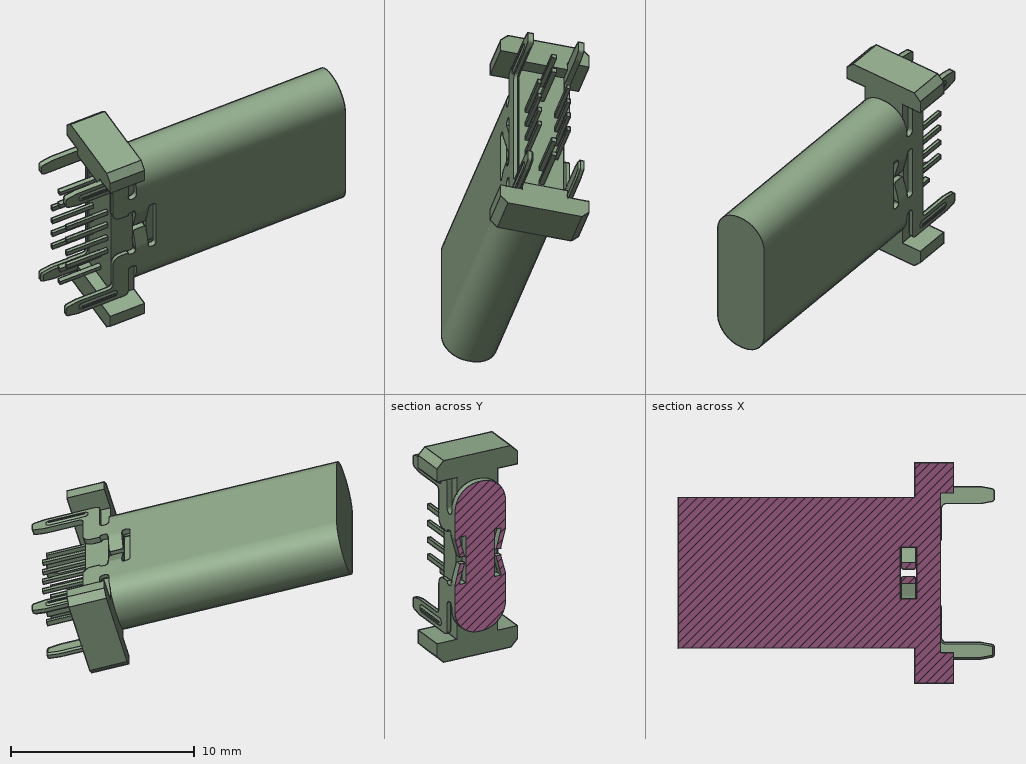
import cadquery as cq
import math


SHELL_HALF_X = 1.58
SHELL_HALF_Z = 4.47
SHELL_CORNER_RADIUS = 1.5
SHELL_FRONT_Y = 12.87
OVERALL_LENGTH = 17.2

BASE_WIDTH = 5.0
BASE_HALF_X = BASE_WIDTH / 2
BASE_HALF_Z = 6.0
BASE_REAR_Y = -2.12
FLANGE_INNER_Z = 4.82
FLANGE_CHAMFER = 0.41
WEB_HALF_X = 1.27
RECESS_HALF_Z = 4.33
RECESS_FLOOR_Y = -1.41

PLATE_THICKNESS = SHELL_HALF_X - WEB_HALF_X
PLATE_REAR_Y = -1.46
PLATE_OVERLAP = 0.17
PLATE_EDGE_CHAMFER = 0.1
RELIEF_WIDTH = 0.52
RELIEF_INNER_Z = 2.61

LEG_INNER_Z = 3.77
LEG_OUTER_Z = 4.7
LEG_MID_Z = (LEG_INNER_Z + LEG_OUTER_Z) / 2
LEG_TIP_Y = SHELL_FRONT_Y - OVERALL_LENGTH
LEG_TAPER_Y = -3.61
LEG_TAPER_INSET = 0.14
LEG_TIP_RADIUS = 0.17
LEG_OUTER_RADIUS = 0.25
LEG_INNER_RADIUS = 0.25

RIB_FRONT_Y = -1.17
RIB_REAR_Y = -3.56
RIB_WIDTH = 0.45
RIB_CREST_WIDTH = 0.1
RIB_HEIGHT = 0.06

TAB_FRONT_Y = 0.72
TAB_REAR_Y = -0.05
TAB_SIDE_STEP = 0.02
SLOT_WIDTH = 0.45
SLOT_HALF_Z = 1.63
SLOT_CORNER_RADIUS = 0.17
TAB_ROOT_Z = 1.4
TAB_BEND_Z = 1.27
TAB_BEND_DROP = 0.02
TAB_TIP_Z = 0.19
TAB_TIP_RADIUS = 0.14
POCKET_CLEARANCE = 0.05
POCKET_DEPTH = 0.38
SLOT_FLOOR_DEPTH = 0.03
SLOT_FLOOR_HALF_Z = 1.43

MOUTH_HALF_Z = 1.46
MOUTH_RADIUS = 0.5

PIN_PITCH = 1.0
PIN_TIP_Y = -3.94
PIN_EMBED = 0.17
PIN_ROOT_Y = RECESS_FLOOR_Y + PIN_EMBED
PIN_THICKNESS = 0.28
OUTER_PIN_HEIGHT = 0.22
SIGNAL_PIN_WIDTH = 0.19
SIGNAL_PIN_X = 0.83


def box(x_from, x_to, y_from, y_to, z_from, z_to):
    """Axis-aligned block between two opposite corners."""
    size = (x_to - x_from, y_to - y_from, z_to - z_from)
    return cq.Workplane("XY").box(*size, centered=False).translate((x_from, y_from, z_from))


def make_shell():
    return (
        cq.Workplane("XZ")
        .rect(2 * SHELL_HALF_X, 2 * SHELL_HALF_Z)
        .extrude(-SHELL_FRONT_Y)
        .edges("|Y")
        .fillet(SHELL_CORNER_RADIUS)
    )


def make_base():
    flanges = (
        box(-BASE_HALF_X, BASE_HALF_X, BASE_REAR_Y, 0, -BASE_HALF_Z, BASE_HALF_Z)
        .edges("|Y")
        .chamfer(FLANGE_CHAMFER)
        .cut(box(-BASE_HALF_X, BASE_HALF_X, BASE_REAR_Y, 0, -FLANGE_INNER_Z, FLANGE_INNER_Z))
    )
    web = box(-WEB_HALF_X, WEB_HALF_X, BASE_REAR_Y, 0, -FLANGE_INNER_Z, FLANGE_INNER_Z)
    recess = box(-WEB_HALF_X, WEB_HALF_X, BASE_REAR_Y, RECESS_FLOOR_Y, -RECESS_HALF_Z, RECESS_HALF_Z)
    return flanges.union(web).cut(recess)


def plate_blank():
    """Flat plate with rounded corners and two legs, lying against the -X side of the web."""
    relief_radius = RELIEF_WIDTH / 2
    relief_mid_z = RELIEF_INNER_Z + relief_radius
    blank = (
        cq.Workplane("YZ")
        .moveTo(PLATE_OVERLAP, 0)
        .lineTo(PLATE_OVERLAP, relief_mid_z)
        .lineTo(0, relief_mid_z)
        .threePointArc((-relief_radius, RELIEF_INNER_Z), (-RELIEF_WIDTH, relief_mid_z))
        .lineTo(-RELIEF_WIDTH, LEG_OUTER_Z)
        .lineTo(LEG_TAPER_Y, LEG_OUTER_Z)
        .lineTo(LEG_TIP_Y, LEG_OUTER_Z - LEG_TAPER_INSET)
        .lineTo(LEG_TIP_Y, LEG_INNER_Z + LEG_TAPER_INSET)
        .lineTo(LEG_TAPER_Y, LEG_INNER_Z)
        .lineTo(PLATE_REAR_Y, LEG_INNER_Z)
        .lineTo(PLATE_REAR_Y, 0)
        .mirrorX()
        .extrude(PLATE_THICKNESS)
        .translate((-SHELL_HALF_X, 0, 0))
    )
    rounded_corners = (
        (LEG_TIP_Y, LEG_OUTER_Z - LEG_TAPER_INSET, LEG_TIP_RADIUS),
        (LEG_TIP_Y, LEG_INNER_Z + LEG_TAPER_INSET, LEG_TIP_RADIUS),
        (-RELIEF_WIDTH, LEG_OUTER_Z, LEG_OUTER_RADIUS),
        (PLATE_REAR_Y, LEG_INNER_Z, LEG_INNER_RADIUS),
    )
    mid_x = -SHELL_HALF_X + PLATE_THICKNESS / 2
    for y, z, radius in rounded_corners:
        for side in (1, -1):
            corner = cq.selectors.NearestToPointSelector((mid_x, y, side * z))
            blank = blank.edges("|X").edges(corner).fillet(radius)
    return blank


def cut_mouth(plate):
    """Open the rear edge of the plate as far as the window and round both lips."""
    mouth = box(
        -SHELL_HALF_X, -WEB_HALF_X,
        PLATE_REAR_Y, TAB_REAR_Y - TAB_SIDE_STEP,
        -MOUTH_HALF_Z, MOUTH_HALF_Z,
    )
    opened = plate.cut(mouth)
    mid_x = -SHELL_HALF_X + PLATE_THICKNESS / 2
    for side in (1, -1):
        lip = cq.selectors.NearestToPointSelector((mid_x, PLATE_REAR_Y, side * MOUTH_HALF_Z))
        opened = opened.edges("|X").edges(lip).fillet(MOUTH_RADIUS)
    return opened


def chamfer_inner_edge(plate):
    """Chamfer the inner edge along the lower part of the plate, round the lower leg."""
    margin = 0.02
    lower_edge = cq.selectors.BoxSelector(
        (-WEB_HALF_X - margin, LEG_TIP_Y - margin, -LEG_OUTER_Z - margin),
        (-WEB_HALF_X + margin, PLATE_REAR_Y + margin, -MOUTH_HALF_Z),
    )
    return plate.edges(lower_edge).chamfer(PLATE_EDGE_CHAMFER)


def make_rib(z):
    """Ridge with sloping sides and round ends, standing on the outer face at -X."""
    slope_run = (RIB_WIDTH - RIB_CREST_WIDTH) / 2
    return (
        cq.Workplane("YZ", origin=(-SHELL_HALF_X, (RIB_FRONT_Y + RIB_REAR_Y) / 2, z))
        .slot2D(RIB_FRONT_Y - RIB_REAR_Y, RIB_WIDTH)
        .extrude(-RIB_HEIGHT, taper=math.degrees(math.atan2(slope_run, RIB_HEIGHT)))
    )


def make_plate(with_mouth):
    plate = plate_blank()
    if with_mouth:
        plate = cut_mouth(plate)
    plate = chamfer_inner_edge(plate)
    for z in (LEG_MID_Z, -LEG_MID_Z):
        plate = plate.union(make_rib(z))
    return plate


def make_window():
    """Material to remove at the -X wall: slots, tab opening and the pocket under the tabs."""
    bar_front_y = TAB_FRONT_Y + TAB_SIDE_STEP
    bar_rear_y = TAB_REAR_Y - TAB_SIDE_STEP
    window = box(-SHELL_HALF_X, -WEB_HALF_X, bar_rear_y, bar_front_y, -TAB_ROOT_Z, TAB_ROOT_Z)
    for slot_rear_y in (bar_front_y, bar_rear_y - SLOT_WIDTH):
        slot = box(
            -SHELL_HALF_X, -WEB_HALF_X,
            slot_rear_y, slot_rear_y + SLOT_WIDTH,
            -SLOT_HALF_Z, SLOT_HALF_Z,
        )
        window = window.union(slot.edges("|X").fillet(SLOT_CORNER_RADIUS))
    pocket = box(
        -WEB_HALF_X, -WEB_HALF_X + POCKET_DEPTH,
        TAB_REAR_Y - POCKET_CLEARANCE, TAB_FRONT_Y + POCKET_CLEARANCE,
        -TAB_ROOT_Z, TAB_ROOT_Z,
    )
    front_slot_floor = box(
        -WEB_HALF_X, -WEB_HALF_X + SLOT_FLOOR_DEPTH,
        bar_front_y, bar_front_y + SLOT_WIDTH,
        -SLOT_FLOOR_HALF_Z, SLOT_FLOOR_HALF_Z,
    )
    return window.union(pocket).union(front_slot_floor)


def make_tabs():
    """Pair of tabs bent inward from the -X wall, facing each other across Z = 0."""
    bend_x = -SHELL_HALF_X + TAB_BEND_DROP
    upper = (
        cq.Workplane("XZ", origin=(0, TAB_FRONT_Y, 0))
        .moveTo(-SHELL_HALF_X, TAB_ROOT_Z)
        .lineTo(bend_x, TAB_BEND_Z)
        .lineTo(-WEB_HALF_X, TAB_TIP_Z)
        .lineTo(-WEB_HALF_X + PLATE_THICKNESS, TAB_TIP_Z)
        .lineTo(bend_x + PLATE_THICKNESS, TAB_BEND_Z)
        .lineTo(-WEB_HALF_X, TAB_ROOT_Z)
        .close()
        .extrude(TAB_FRONT_Y - TAB_REAR_Y)
        .faces("<Z")
        .edges("|X")
        .fillet(TAB_TIP_RADIUS)
    )
    return upper.union(upper.mirror("XY"))


def pin(x, z, width, height):
    return box(
        x - width / 2, x + width / 2,
        PIN_TIP_Y, PIN_ROOT_Y,
        z - height / 2, z + height / 2,
    )


def make_pins():
    """Eight signal pins in two columns, with two single pins above and below them."""
    pins = cq.Workplane("XY")
    for side in (1, -1):
        for step in (0.5, 1.5):
            z = side * step * PIN_PITCH
            for x in (SIGNAL_PIN_X, -SIGNAL_PIN_X):
                pins = pins.union(pin(x, z, SIGNAL_PIN_WIDTH, PIN_THICKNESS))
        for step, height in ((2.5, PIN_THICKNESS), (3.5, OUTER_PIN_HEIGHT)):
            pins = pins.union(pin(0, side * step * PIN_PITCH, PIN_THICKNESS, height))
    return pins


window = make_window()
tabs = make_tabs()
result = (
    make_shell()
    .union(make_base())
    .union(make_plate(with_mouth=False))
    .union(make_plate(with_mouth=True).mirror("YZ"))
    .cut(window)
    .cut(window.mirror("YZ"))
    .union(tabs)
    .union(tabs.mirror("YZ"))
    .union(make_pins())
)